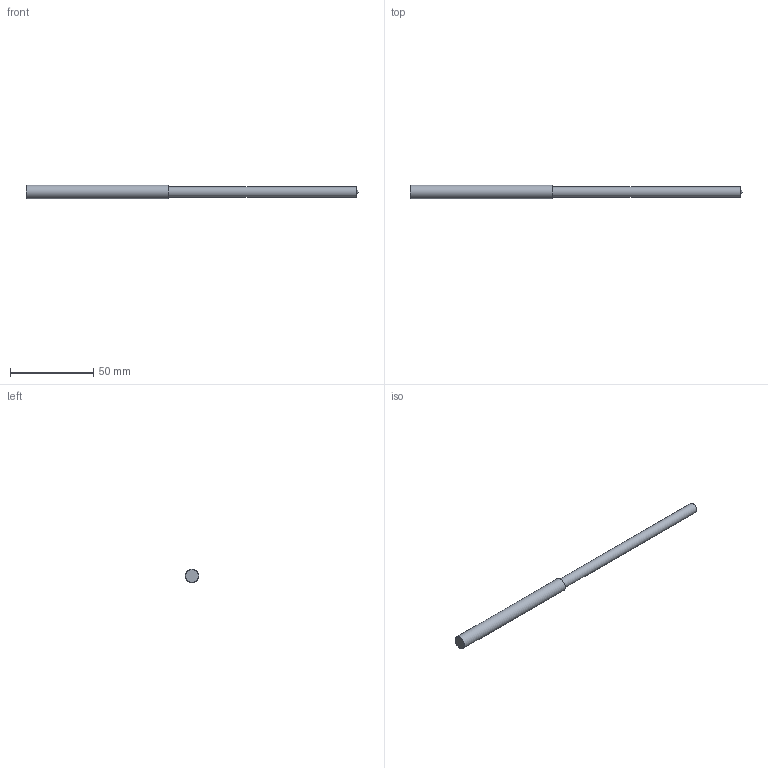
import cadquery as cq

overall_length = 200.0
shank_diameter = 8.0
shank_length = 86.0
shank_chamfer = 0.2
body_diameter = 6.1
point_length = 1.0

shank_radius = shank_diameter / 2
body_radius = body_diameter / 2
body_end = overall_length - point_length


def turned_profile():
    """Half outline in the XY plane, closed along the X axis."""
    return (
        cq.Workplane("XY")
        .moveTo(0, 0)
        .lineTo(0, shank_radius - shank_chamfer)
        .lineTo(shank_chamfer, shank_radius)
        .lineTo(shank_length, shank_radius)
        .lineTo(shank_length, body_radius)
        .lineTo(body_end, body_radius)
        .lineTo(overall_length, 0)
        .close()
    )


axis_start = (0, 0, 0)
axis_end = (1, 0, 0)
result = turned_profile().revolve(360, axis_start, axis_end)